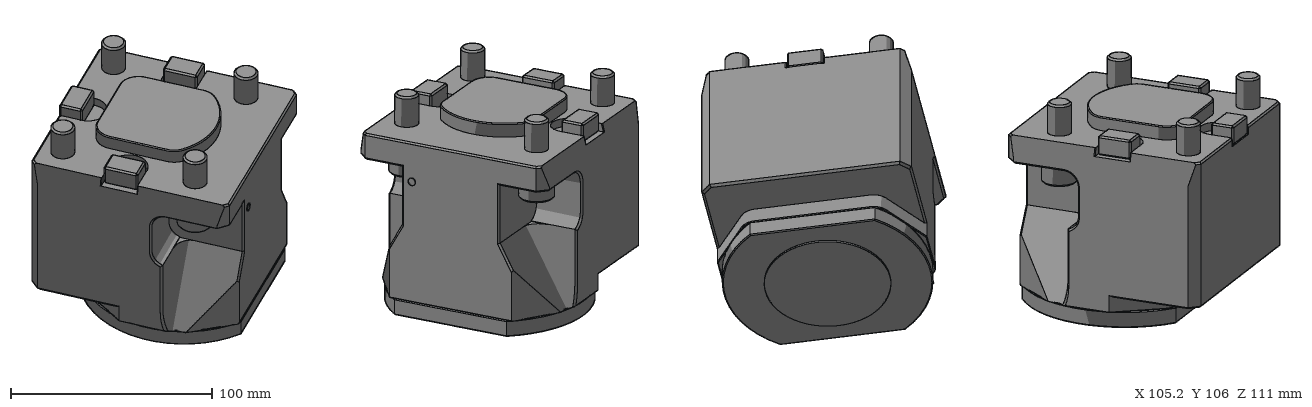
import cadquery as cq
import math

BLOCK_LEFT = -47.2
BLOCK_RIGHT = 57.6
BLOCK_WIDTH = 106.0
BLOCK_HALF_Y = BLOCK_WIDTH / 2
BLOCK_BOTTOM = 17.9
BLOCK_TOP = 94.9
CORNER_CHAMFER = 4.9
TAPER_DEPTH = 3.1
TAPER_HEIGHT = 11.4
TOP_CHAMFER = 0.9
BOTTOM_CHAMFER_SIDE = 1.0
BOTTOM_CHAMFER_HEIGHT = 1.3

FLANGE_X = 15.8
FLANGE_RADIUS = 52.4
FLANGE_TOP = 9.7
FLANGE_CHAMFER = 0.5
DISC_DIAMETER = 63.0
DISC_HEIGHT = 1.0
FLAT_DISTANCE = BLOCK_RIGHT - FLANGE_X

SLANT_ANGLE = math.radians(54.7)
SLANT_START_X = 0.8
NECK_FILLET = 9.0
NECK_CHAMFER = 0.4

BOLT_X = 35.1
BOLT_Y = 36.5
BOLT_DIAMETER = 12.0
BOLT_TOP = 111
BOLT_CHAMFER = 1.0
HEAD_DIAMETER = 18.0
HEAD_BOTTOM = 68.9

BOSS_LEFT = -24.3
BOSS_HALF_Y = 26.2
BOSS_ARC_RADIUS = 33.1
BOSS_CORNER_RADIUS = 10
BOSS_TOP = 102.1
BOSS_CHAMFER = 0.5

SLOT_RADIUS = 9.4
SLOT_FLOOR = 90.6
SLOT_RIM = 0.4
KEY_WIDTH = 18.0
KEY_LENGTH = 12.1
KEY_TOP = 100.8
KEY_CHAMFER = 0.9

POCKET_LEFT = 17.9
POCKET_TOP = 81
POCKET_STEP = 50.1
POCKET_BACK_Y = 27.4
POCKET_FILLET = 8.0
RAMP_LEFT = 23.6
RAMP_TOE_Y = 50.2
SLANT_CUT_X = 31.1
RIM_CHAMFER = 1.0

PIN_DIAMETER = 4.0
PIN_Y = -21.6
PIN_Z = 74.1
PIN_LENGTH = 0.4

CLEARANCE = 22.2


def mirrored(solid):
    """Join a solid and its mirror image across the XZ plane."""
    return solid.union(solid.mirror("XZ"))


def make_block():
    height = BLOCK_TOP - BLOCK_BOTTOM
    length = BLOCK_RIGHT - BLOCK_LEFT
    middle_x = (BLOCK_LEFT + BLOCK_RIGHT) / 2
    block = (
        cq.Workplane("XY", origin=(middle_x, 0, BLOCK_BOTTOM))
        .rect(length, BLOCK_WIDTH)
        .extrude(height)
        .edges("|Z")
        .chamfer(CORNER_CHAMFER)
        .faces("<Z")
        .chamfer(BOTTOM_CHAMFER_HEIGHT, BOTTOM_CHAMFER_SIDE)
        .faces(">Z")
        .chamfer(TOP_CHAMFER)
    )
    taper = (
        cq.Workplane("YZ", origin=(BLOCK_LEFT, 0, 0))
        .moveTo(-BLOCK_HALF_Y, BLOCK_TOP - TAPER_HEIGHT)
        .lineTo(-BLOCK_HALF_Y + TAPER_DEPTH, BLOCK_TOP)
        .lineTo(-BLOCK_HALF_Y, BLOCK_TOP)
        .close()
        .extrude(length)
    )
    return block.cut(mirrored(taper))


def make_neck():
    neck_left = FLANGE_X - FLAT_DISTANCE
    arc_end_x = neck_left + NECK_FILLET * (1 - math.cos(SLANT_ANGLE))
    arc_end_y = BLOCK_HALF_Y - (SLANT_START_X - arc_end_x) / math.tan(SLANT_ANGLE)
    arc_start_y = arc_end_y - NECK_FILLET * math.sin(SLANT_ANGLE)
    half_angle = SLANT_ANGLE / 2
    arc_mid_x = neck_left + NECK_FILLET * (1 - math.cos(half_angle))
    arc_mid_y = arc_start_y + NECK_FILLET * math.sin(half_angle)
    return (
        cq.Workplane("XY", origin=(0, 0, FLANGE_TOP))
        .moveTo(neck_left, -arc_start_y)
        .lineTo(neck_left, arc_start_y)
        .threePointArc((arc_mid_x, arc_mid_y), (arc_end_x, arc_end_y))
        .lineTo(SLANT_START_X, BLOCK_HALF_Y)
        .lineTo(BLOCK_RIGHT - CORNER_CHAMFER, BLOCK_HALF_Y)
        .lineTo(BLOCK_RIGHT, BLOCK_HALF_Y - CORNER_CHAMFER)
        .lineTo(BLOCK_RIGHT, -BLOCK_HALF_Y + CORNER_CHAMFER)
        .lineTo(BLOCK_RIGHT - CORNER_CHAMFER, -BLOCK_HALF_Y)
        .lineTo(SLANT_START_X, -BLOCK_HALF_Y)
        .lineTo(arc_end_x, -arc_end_y)
        .threePointArc((arc_mid_x, -arc_mid_y), (neck_left, -arc_start_y))
        .close()
        .extrude(BLOCK_BOTTOM + BOTTOM_CHAMFER_HEIGHT - FLANGE_TOP)
        .faces("<Z")
        .chamfer(NECK_CHAMFER)
    )


def make_upper_pocket():
    right = BLOCK_RIGHT + CLEARANCE
    return (
        cq.Workplane("XZ", origin=(0, -POCKET_BACK_Y, 0))
        .moveTo(POCKET_LEFT, POCKET_STEP)
        .lineTo(right, POCKET_STEP)
        .lineTo(right, POCKET_TOP)
        .lineTo(POCKET_LEFT, POCKET_TOP)
        .close()
        .extrude(BLOCK_HALF_Y - POCKET_BACK_Y + CLEARANCE)
        .edges("|Y and <X")
        .fillet(POCKET_FILLET)
    )


def make_ramp():
    """Sloping pocket floor that runs out from the back wall down to the flange."""
    outside_y = -BLOCK_HALF_Y - CLEARANCE
    width = BLOCK_RIGHT - RAMP_LEFT + CLEARANCE
    ramp = (
        cq.Workplane("YZ", origin=(RAMP_LEFT, 0, 0))
        .moveTo(-POCKET_BACK_Y, POCKET_STEP)
        .lineTo(-RAMP_TOE_Y, FLANGE_TOP)
        .lineTo(outside_y, FLANGE_TOP)
        .lineTo(outside_y, POCKET_STEP)
        .close()
        .extrude(width)
        .faces("<X")
        .edges(">Y and (not |Y)")
        .fillet(POCKET_FILLET)
    )
    passage = (
        cq.Workplane("XY", origin=(RAMP_LEFT, outside_y, POCKET_STEP))
        .rect(width, -outside_y - POCKET_BACK_Y, centered=False)
        .extrude(POCKET_FILLET / 2)
    )
    return ramp.union(passage)


def make_slant():
    """Wedge that cuts the lower right corner at the same angle as the neck sides."""
    right = BLOCK_RIGHT + CLEARANCE
    end_y = -BLOCK_HALF_Y + (right - SLANT_CUT_X) / math.tan(SLANT_ANGLE)
    return (
        cq.Workplane("XY", origin=(0, 0, FLANGE_TOP))
        .moveTo(SLANT_CUT_X, -BLOCK_HALF_Y)
        .lineTo(right, end_y)
        .lineTo(right, -BLOCK_HALF_Y)
        .close()
        .extrude(POCKET_STEP - FLANGE_TOP)
    )


def make_flange():
    flange = (
        cq.Workplane("XY", origin=(FLANGE_X, 0, DISC_HEIGHT))
        .circle(FLANGE_RADIUS)
        .extrude(FLANGE_TOP - DISC_HEIGHT)
    )
    flats = cq.Workplane("XY", origin=(FLANGE_X, 0, 0)).box(
        2 * FLAT_DISTANCE, 2 * FLANGE_RADIUS, 2 * FLANGE_TOP
    )
    flange = flange.intersect(flats).faces("<Z or >Z").chamfer(FLANGE_CHAMFER)
    disc = cq.Workplane("XY", origin=(FLANGE_X, 0, 0)).circle(DISC_DIAMETER / 2).extrude(FLANGE_TOP)
    return flange.union(disc)


def make_boss():
    arc_end_x = math.sqrt(BOSS_ARC_RADIUS**2 - BOSS_HALF_Y**2)
    return (
        cq.Workplane("XY", origin=(0, 0, BLOCK_TOP))
        .moveTo(BOSS_LEFT, -BOSS_HALF_Y)
        .lineTo(arc_end_x, -BOSS_HALF_Y)
        .threePointArc((BOSS_ARC_RADIUS, 0), (arc_end_x, BOSS_HALF_Y))
        .lineTo(BOSS_LEFT, BOSS_HALF_Y)
        .close()
        .extrude(BOSS_TOP - BLOCK_TOP)
        .edges("|Z")
        .fillet(BOSS_CORNER_RADIUS)
        .faces(">Z")
        .chamfer(BOSS_CHAMFER)
    )


def chamfer_pocket_rims(body):
    """Break the pocket edges on the two Y sides, the +X side and the corners between."""
    left = POCKET_LEFT - RIM_CHAMFER
    right = BLOCK_RIGHT + RIM_CHAMFER
    outer_y = BLOCK_HALF_Y + RIM_CHAMFER
    low = FLANGE_TOP + 2 * NECK_CHAMFER
    high = POCKET_TOP + RIM_CHAMFER / 2
    edges = body.faces("<Y or >Y or >X").edges(
        cq.selectors.BoxSelector((left, -outer_y, low), (right, outer_y, high))
    )
    corner_x = BLOCK_RIGHT - CORNER_CHAMFER / 2
    corner_y = BLOCK_HALF_Y - CORNER_CHAMFER / 2
    for side in (-1, 1):
        corner_edge = cq.selectors.NearestToPointSelector((corner_x, side * corner_y, POCKET_TOP))
        edges = edges.add(body.edges(corner_edge))
    return edges.chamfer(RIM_CHAMFER)


def make_slot():
    """Slot pointing to +X with its round end centred on the Z axis."""
    height = BLOCK_TOP - SLOT_FLOOR
    slot = cq.Workplane("XY", origin=(0, 0, SLOT_FLOOR)).circle(SLOT_RADIUS).extrude(height)
    channel = (
        cq.Workplane("XY", origin=(0, -SLOT_RADIUS, SLOT_FLOOR))
        .rect(CLEARANCE, 2 * SLOT_RADIUS, centered=False)
        .extrude(height)
    )
    return slot.union(channel)


def make_key():
    """Key that starts at the centre of the slot's round end and points to +X."""
    return (
        cq.Workplane("XY", origin=(0, -KEY_WIDTH / 2, SLOT_FLOOR))
        .rect(KEY_LENGTH, KEY_WIDTH, centered=False)
        .extrude(KEY_TOP - SLOT_FLOOR)
        .edges()
        .chamfer(KEY_CHAMFER)
    )


def place_keyed(solid, angle, distance):
    """Move a slot or key outwards from the Z axis and turn it to its side."""
    return solid.translate((distance, 0, 0)).rotate((0, 0, 0), (0, 0, 1), angle)


def chamfer_slot_mouth(body, angle, edge_distance):
    """Break the upright slot edges where it runs out through the block side."""
    turned = body.rotate((0, 0, 0), (0, 0, 1), -angle)
    mouth = cq.selectors.BoxSelector(
        (edge_distance - TOP_CHAMFER, -SLOT_RADIUS - SLOT_RIM, SLOT_FLOOR + SLOT_RIM),
        (edge_distance + TAPER_DEPTH, SLOT_RADIUS + SLOT_RIM, BLOCK_TOP - SLOT_RIM / 2),
    )
    turned = turned.edges(mouth).chamfer(SLOT_RIM)
    return turned.rotate((0, 0, 0), (0, 0, 1), angle)


def make_bolt_ends():
    """Shank ends above the block at all four corners."""
    return (
        cq.Workplane("XY", origin=(0, 0, BLOCK_TOP))
        .rect(2 * BOLT_X, 2 * BOLT_Y, forConstruction=True)
        .vertices()
        .circle(BOLT_DIAMETER / 2)
        .extrude(BOLT_TOP - BLOCK_TOP)
        .faces(">Z")
        .chamfer(BOLT_CHAMFER)
    )


def make_bolt_heads():
    """Heads hanging from the pocket roofs."""
    return (
        cq.Workplane("XY", origin=(0, 0, HEAD_BOTTOM))
        .pushPoints([(BOLT_X, -BOLT_Y), (BOLT_X, BOLT_Y)])
        .circle(HEAD_DIAMETER / 2)
        .extrude(POCKET_TOP - HEAD_BOTTOM)
        .faces("<Z")
        .chamfer(BOLT_CHAMFER)
    )


def make_pin():
    return (
        cq.Workplane("YZ", origin=(BLOCK_RIGHT, PIN_Y, PIN_Z))
        .circle(PIN_DIAMETER / 2)
        .extrude(PIN_LENGTH)
    )


body = make_block().union(make_neck())
body = body.cut(mirrored(make_upper_pocket().union(make_ramp())))
body = chamfer_pocket_rims(body)
body = body.cut(mirrored(make_slant()))

taper_edge = BLOCK_HALF_Y - TAPER_DEPTH
keyed_sides = [
    (90, BOLT_Y, taper_edge),
    (180, BOLT_X, -BLOCK_LEFT),
    (270, BOLT_Y, taper_edge),
]
for angle, centre_distance, edge_distance in keyed_sides:
    body = body.cut(place_keyed(make_slot(), angle, centre_distance))
    body = chamfer_slot_mouth(body, angle, edge_distance)
    body = body.union(place_keyed(make_key(), angle, centre_distance))

body = body.union(make_flange())
body = body.union(make_boss())
body = body.union(make_bolt_ends())
body = body.union(make_bolt_heads())
result = body.union(make_pin())